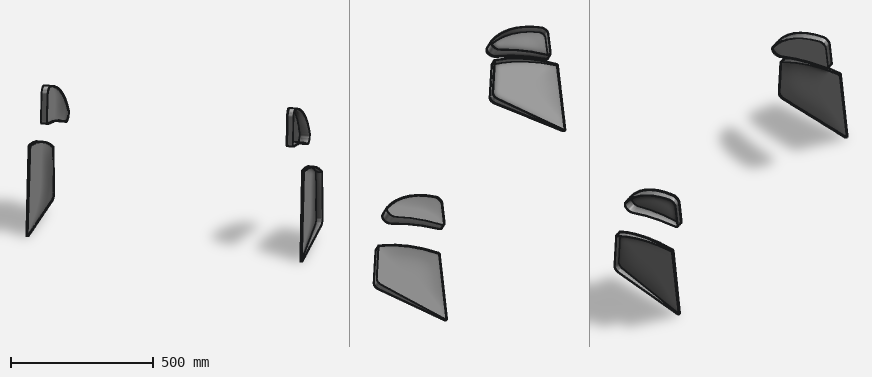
import cadquery as cq

half_width = 501.0
small_tray_inset = 43.0
wall = 3.0

large_front_depth = 6.0
large_rear_depth = 26.0
large_front_y = -140.0
large_rear_y = 140.0
large_top_rear = (134.0, -31.0)
large_top_mid = (32.0, 24.0)
large_top_front = (-111.0, 57.0)
large_bottom_front = (-141.0, -275.0)
large_bottom_rear = (142.0, -225.0)
large_rear_radius = 25.0
large_front_radius = 7.0

small_front_depth = 23.0
small_rear_depth = 40.0
small_front_y = -104.0
small_rear_y = 128.0
small_tip_top = (127.0, 112.0)
small_tip_mid = (122.0, 88.0)
small_tip_bottom = (92.0, 81.0)
small_bottom_mid = (3.0, 116.0)
small_bottom_front = (-105.0, 138.0)
small_top_front = (-92.0, 276.0)
small_top_mid = (42.0, 217.0)
small_top_radius = 24.0
small_bottom_radius = 15.0


def large_outline():
    """Four-sided outline with an arched top edge."""
    return (
        cq.Workplane("YZ")
        .moveTo(*large_top_rear)
        .threePointArc(large_top_mid, large_top_front)
        .lineTo(*large_bottom_front)
        .lineTo(*large_bottom_rear)
        .close()
    )


def small_outline():
    """Fin outline with a rounded rear tip and a hollow lower edge."""
    return (
        cq.Workplane("YZ")
        .moveTo(*small_tip_top)
        .threePointArc(small_tip_mid, small_tip_bottom)
        .threePointArc(small_bottom_mid, small_bottom_front)
        .lineTo(*small_top_front)
        .threePointArc(small_top_mid, small_tip_top)
        .close()
    )


def round_corner(prism, corner, radius):
    """Round the prism edge that runs along X through a (Y, Z) corner."""
    nearest = cq.selectors.NearestToPointSelector((prism.val().Center().x, *corner))
    return prism.edges("|X").edges(nearest).fillet(radius)


def large_prism(length):
    prism = large_outline().extrude(length)
    prism = round_corner(prism, large_bottom_rear, large_rear_radius)
    for corner in (large_top_front, large_bottom_front):
        prism = round_corner(prism, corner, large_front_radius)
    return prism


def small_prism(length):
    prism = small_outline().extrude(length)
    prism = round_corner(prism, small_top_front, small_top_radius)
    return round_corner(prism, small_bottom_front, small_bottom_radius)


def wedge(front_y, rear_y, front_depth, rear_depth):
    """Space between the rim plane X = 0 and a sloping floor, wider and taller than any tray."""
    slope = (rear_depth - front_depth) / (rear_y - front_y)
    margin = 10.0
    height = 2 * half_width
    front = front_y - margin
    rear = rear_y + margin
    return (
        cq.Workplane("XY")
        .moveTo(0, front)
        .lineTo(front_depth - slope * margin, front)
        .lineTo(rear_depth + slope * margin, rear)
        .lineTo(0, rear)
        .close()
        .extrude(height / 2, both=True)
    )


def tray(prism, front_y, rear_y, front_depth, rear_depth):
    """Hollow tray with its open rim at X = 0 and a floor that deepens to the rear."""
    block = prism.intersect(wedge(front_y, rear_y, front_depth, rear_depth))
    floor = block.cut(wedge(front_y, rear_y, front_depth - wall, rear_depth - wall))
    rim = prism.faces("<X or >X").shell(-wall).intersect(block)
    return rim.union(floor)


large_tray = tray(
    large_prism(2 * large_rear_depth),
    large_front_y, large_rear_y, large_front_depth, large_rear_depth,
).translate((-half_width, 0, 0))

small_tray = tray(
    small_prism(2 * small_rear_depth),
    small_front_y, small_rear_y, small_front_depth, small_rear_depth,
).translate((small_tray_inset - half_width, 0, 0))

bodies = []
for left_tray in (large_tray, small_tray):
    bodies.append(left_tray.solids().val())
    bodies.append(left_tray.mirror("YZ").solids().val())

result = cq.Compound.makeCompound(bodies)